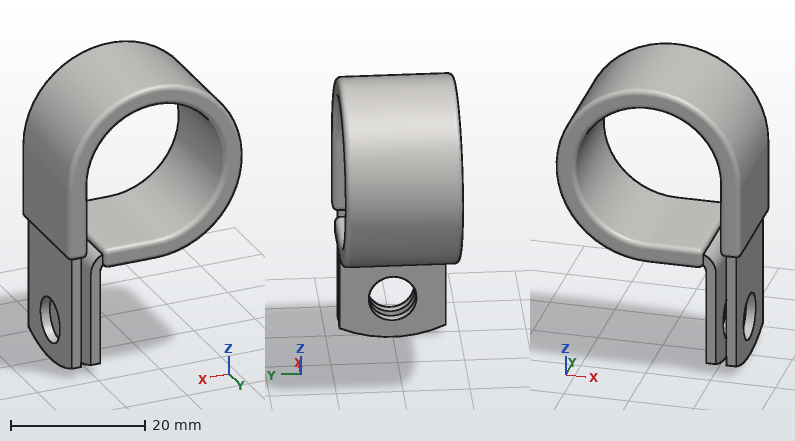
import cadquery as cq
import math


strap_thickness = 1.524
strap_width = 15.875
tab_gap = 1.5875
bend_inner_radius = strap_thickness
tab_bottom_z = -31.75
tab_end_radius = 19.05
hole_diameter = 7.14
hole_z = -25.4

loop_inner_radius = 11.1125
rubber_cover = 0.79375
sleeve_end_inset = 0.4

sleeve_thickness = strap_thickness + 2 * rubber_cover
sleeve_width = strap_width + 2 * rubber_cover
strap_inner_radius = loop_inner_radius + rubber_cover
strap_middle_radius = strap_inner_radius + strap_thickness / 2
bend_outer_radius = bend_inner_radius + strap_thickness
bent_tab_right_x = strap_inner_radius - tab_gap
bent_tab_left_x = bent_tab_right_x - strap_thickness
bend_center_x = bent_tab_left_x - bend_inner_radius
bend_center_z = -strap_inner_radius - bend_outer_radius
sleeve_bottom_z = -loop_inner_radius - rubber_cover
sleeve_right_x = bent_tab_left_x - sleeve_end_inset
diagonal = math.sqrt(0.5)


def loop_band(inner_radius, thickness, width, straight_end_z, foot_end_x):
    """Three-quarter ring with a vertical leg at +X and a horizontal foot at the bottom."""
    outer_radius = inner_radius + thickness
    return (
        cq.Workplane("XZ")
        .moveTo(inner_radius, straight_end_z)
        .lineTo(outer_radius, straight_end_z)
        .lineTo(outer_radius, 0)
        .threePointArc((-outer_radius * diagonal, outer_radius * diagonal), (0, -outer_radius))
        .lineTo(foot_end_x, -outer_radius)
        .lineTo(foot_end_x, -inner_radius)
        .lineTo(0, -inner_radius)
        .threePointArc((-inner_radius * diagonal, inner_radius * diagonal), (inner_radius, 0))
        .close()
        .extrude(width / 2, both=True)
    )


def rubber_sleeve():
    """Sleeve around the loop with all edges of its sides and ends rounded."""
    sleeve = loop_band(
        loop_inner_radius, sleeve_thickness, sleeve_width, sleeve_bottom_z, sleeve_right_x
    )
    leg_end = sleeve.faces(cq.NearestToPointSelector((strap_middle_radius, 0, sleeve_bottom_z)))
    foot_end = sleeve.faces(cq.NearestToPointSelector((sleeve_right_x, 0, -strap_middle_radius)))
    rounded_edges = sleeve.faces("<Y or >Y").edges().add(leg_end.edges()).add(foot_end.edges())
    return sleeve.newObject(set(rounded_edges.vals())).fillet(rubber_cover)


def bend_midpoint(radius):
    """Point halfway round the bend at the given radius, as (x, z)."""
    return (bend_center_x + radius * diagonal, bend_center_z + radius * diagonal)


def bent_tab():
    """Lower tab: leaves the foot horizontally and turns down through a quarter bend."""
    return (
        cq.Workplane("XZ")
        .moveTo(bend_center_x, -strap_inner_radius)
        .threePointArc(bend_midpoint(bend_outer_radius), (bent_tab_right_x, bend_center_z))
        .lineTo(bent_tab_right_x, tab_bottom_z)
        .lineTo(bent_tab_left_x, tab_bottom_z)
        .lineTo(bent_tab_left_x, bend_center_z)
        .threePointArc(
            bend_midpoint(bend_inner_radius), (bend_center_x, bend_center_z + bend_inner_radius)
        )
        .close()
        .extrude(strap_width / 2, both=True)
    )


def straight_tab():
    """Upper tab: runs straight down from inside the leg."""
    return (
        cq.Workplane("XY", origin=(strap_middle_radius, 0, tab_bottom_z))
        .rect(strap_thickness, strap_width)
        .extrude(sleeve_bottom_z + rubber_cover - tab_bottom_z)
    )


def tab_outline():
    """Block with an arc-shaped lower end and a bolt hole, used to trim both tabs alike."""
    block_depth = loop_inner_radius + sleeve_thickness
    corner_z = tab_bottom_z + tab_end_radius - math.sqrt(tab_end_radius**2 - (strap_width / 2) ** 2)
    outline = (
        cq.Workplane("YZ")
        .moveTo(-strap_width / 2, 0)
        .lineTo(-strap_width / 2, corner_z)
        .threePointArc((0, tab_bottom_z), (strap_width / 2, corner_z))
        .lineTo(strap_width / 2, 0)
        .close()
        .extrude(block_depth)
    )
    hole = (
        cq.Workplane("YZ")
        .center(0, hole_z)
        .circle(hole_diameter / 2)
        .extrude(block_depth)
    )
    return outline.cut(hole)


tabs = bent_tab().add(straight_tab()).combine().intersect(tab_outline())
result = rubber_sleeve().union(tabs)